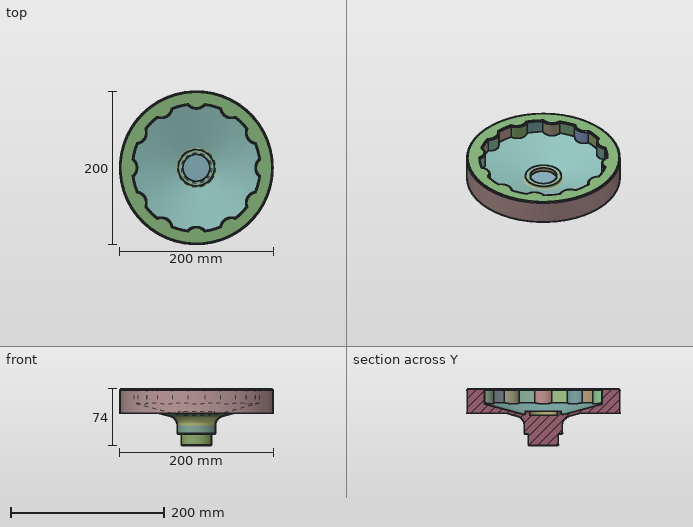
import cadquery as cq
import math

rim_diameter = 200.0
rim_height = 32.0
edge_chamfer = 1.5
cone_angle = math.radians(15)

total_height = 74.0
hub_diameter = 50.0
hub_chamfer = 1.0
spigot_diameter = 40.0
spigot_length = 15.0
spigot_chamfer = 1.5
flare_diameter = 96.5
flare_fillet = 12.0

recess_diameter = 165.0
recess_wall_depth = 18.0
lobe_count = 12
lobe_radius = 15.0
lobe_tip_radius = 76.5

collar_diameter = 47.0
collar_top = 44.8
collar_fillet = 2.0
socket_diameter = 35.0
socket_depth = 5.0

cone_slope = math.tan(cone_angle)
rim_bottom = total_height - rim_height


def cone_height(radius, known_radius, known_height):
    """Height at a radius on the cone through a known point."""
    return known_height + (radius - known_radius) * cone_slope


def revolve_profile(points):
    """Revolve a closed outline of (radius, height) points about the Z axis."""
    return cq.Workplane("XZ").polyline(points).close().revolve(360, (0, 0), (0, 1))


def make_body():
    """Solid rim, conical web, hub and spigot with their edges broken."""
    rim_radius = rim_diameter / 2
    hub_radius = hub_diameter / 2
    spigot_radius = spigot_diameter / 2
    flare_radius = flare_diameter / 2
    hub_top = cone_height(hub_radius, flare_radius, rim_bottom)

    body = revolve_profile([
        (0, 0),
        (spigot_radius - spigot_chamfer, 0),
        (spigot_radius, spigot_chamfer),
        (spigot_radius, spigot_length),
        (hub_radius - hub_chamfer, spigot_length),
        (hub_radius, spigot_length + hub_chamfer),
        (hub_radius, hub_top),
        (flare_radius, rim_bottom),
        (rim_radius, rim_bottom),
        (rim_radius, total_height - edge_chamfer),
        (rim_radius - edge_chamfer, total_height),
        (0, total_height),
    ])
    flare_edge = body.edges(cq.NearestToPointSelector((0, 0, hub_top)))
    return flare_edge.fillet(flare_fillet)


def make_recess():
    """Volume removed from the rim: conical floor, lobed wall, beveled mouth."""
    recess_radius = recess_diameter / 2
    collar_radius = collar_diameter / 2
    wall_bottom = total_height - recess_wall_depth
    floor_at_collar = cone_height(collar_radius, recess_radius, wall_bottom)

    recess = revolve_profile([
        (0, collar_top),
        (collar_radius, collar_top),
        (collar_radius, floor_at_collar),
        (recess_radius, wall_bottom),
        (recess_radius, total_height - edge_chamfer),
        (recess_radius + edge_chamfer, total_height),
        (0, total_height),
    ])
    collar_root = recess.edges(cq.NearestToPointSelector((0, 0, floor_at_collar)))
    recess = collar_root.fillet(collar_fillet)

    lobes = (
        cq.Workplane("XY")
        .polarArray(lobe_tip_radius + lobe_radius, 0, 360, lobe_count)
        .circle(lobe_radius)
        .extrude(total_height)
        .faces(">Z")
        .chamfer(edge_chamfer)
    )
    return recess.cut(lobes)


def make_socket():
    """Shallow blind bore in the top of the collar."""
    return (
        cq.Workplane("XY")
        .workplane(offset=collar_top - socket_depth)
        .circle(socket_diameter / 2)
        .extrude(socket_depth)
    )


result = make_body().cut(make_recess()).cut(make_socket())